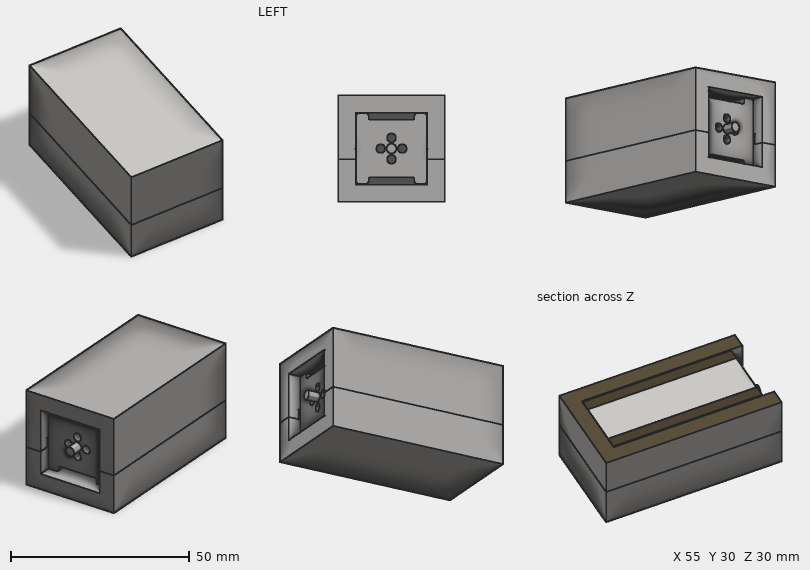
import cadquery as cq

LENGTH = 55.0
WIDTH = 30.0
BORE = 20.2
WALL = (WIDTH - BORE) / 2
FRONT = -LENGTH / 2
REAR = LENGTH / 2
BORE_END = REAR - WALL

PARTING_Z = -3.0
LIP_TOP_Z = 0.0
LIP_SETBACK = 3.25
LIP_THICKNESS = WALL / 2

MOTOR_WIDTH = 19.8
MOTOR_RECESS = 3.65
MOTOR_FRONT = FRONT + MOTOR_RECESS
CORNER_RADIUS = 0.7
NOTCH_ROOT_RADIUS = 0.5
NOTCH_WIDTH = 12.85
NOTCH_FLOOR_Z = 8.1

HOLE_DIAMETER = 2.5
HOLE_OFFSET = 3.0
HOLE_DEPTH = 4.95
HOLE_COUNT = 4
SHAFT_DIAMETER = 2.75
SHAFT_PROJECTION = MOTOR_RECESS
SHAFT_SOCKET_DEPTH = 4.95


def block(x_start, x_end, width, z_low, z_high):
    """Box between two X stations and two heights, centred on Y."""
    return cq.Workplane("XY").box(
        x_end - x_start, width, z_high - z_low, centered=(False, True, False)
    ).translate((x_start, 0, z_low))


def bore():
    """Square pocket, open at the front end of the housing."""
    return block(FRONT, BORE_END, BORE, -BORE / 2, BORE / 2)


def lips():
    """Raised strips along the inner half of both side walls."""
    x_start = FRONT + LIP_SETBACK
    strips = block(x_start, BORE_END, BORE + 2 * LIP_THICKNESS, PARTING_Z, LIP_TOP_Z)
    return strips.cut(block(x_start, BORE_END, BORE, PARTING_Z, LIP_TOP_Z))


def make_lower_shell():
    shell = block(FRONT, REAR, WIDTH, -WIDTH / 2, PARTING_Z).cut(bore())
    return shell.union(lips())


def make_upper_shell(lower_shell):
    return block(FRONT, REAR, WIDTH, PARTING_Z, WIDTH / 2).cut(bore()).cut(lower_shell)


def cylinder_along_x(diameter, x_start, length):
    return (
        cq.Workplane("YZ", origin=(x_start, 0, 0))
        .circle(diameter / 2)
        .extrude(length)
    )


def make_motor():
    motor = block(MOTOR_FRONT, BORE_END, MOTOR_WIDTH, -MOTOR_WIDTH / 2, MOTOR_WIDTH / 2)
    notch = block(MOTOR_FRONT, BORE_END, NOTCH_WIDTH, NOTCH_FLOOR_Z, MOTOR_WIDTH / 2)
    motor = motor.cut(notch).cut(notch.mirror("XY"))
    motor = motor.faces("<Z or >Z").edges("|X").fillet(CORNER_RADIUS)
    root_y = NOTCH_WIDTH / 2 + NOTCH_ROOT_RADIUS
    root_z = NOTCH_FLOOR_Z + NOTCH_ROOT_RADIUS
    notch_roots = cq.selectors.BoxSelector((FRONT, -root_y, -root_z), (REAR, root_y, root_z))
    motor = motor.edges("|X").edges(notch_roots).fillet(NOTCH_ROOT_RADIUS)
    holes = (
        cq.Workplane("YZ", origin=(MOTOR_FRONT, 0, 0))
        .polarArray(HOLE_OFFSET, 0, 360, HOLE_COUNT)
        .circle(HOLE_DIAMETER / 2)
        .extrude(HOLE_DEPTH)
    )
    socket = cylinder_along_x(SHAFT_DIAMETER, MOTOR_FRONT, SHAFT_SOCKET_DEPTH)
    return motor.cut(holes).cut(socket)


def make_shaft():
    return cylinder_along_x(
        SHAFT_DIAMETER, MOTOR_FRONT - SHAFT_PROJECTION, SHAFT_PROJECTION + SHAFT_SOCKET_DEPTH
    )


lower_shell = make_lower_shell()
upper_shell = make_upper_shell(lower_shell)
motor = make_motor()
shaft = make_shaft()

result = cq.Compound.makeCompound([
    lower_shell.val(),
    upper_shell.val(),
    motor.val(),
    shaft.val(),
])